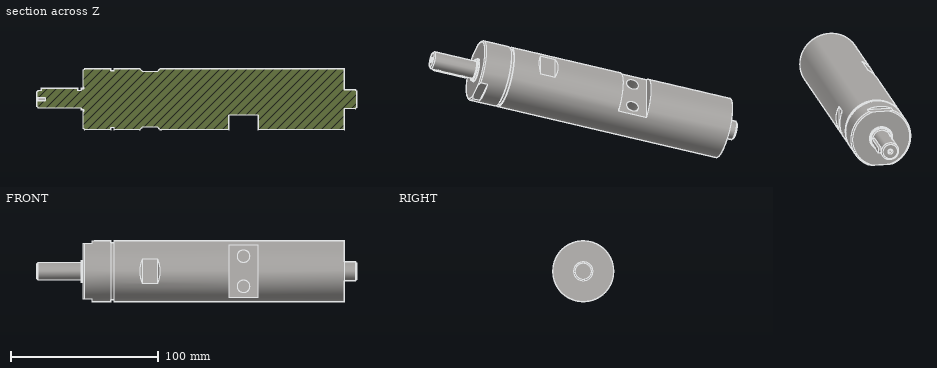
import cadquery as cq
body_length = 177.5
body_diameter = 41.5
body_radius = body_diameter / 2
face_chamfer = 1.0

shaft_length = 31.5
shaft_diameter = 12.0
shaft_chamfer = 1.0
spigot_length = 8.5
spigot_diameter = 13.0
spigot_chamfer = 1.0

collar_length = 1.2
ring_thickness = 0.4
ring_diameter = 14.95
neck_diameter = 14.0
clearance_diameter = 16.0
clearance_depth = 0.5

centre_mouth_diameter = 3.5
centre_hole_diameter = 1.8
centre_cone_depth = 0.85
centre_hole_depth = 6.0

key_start = -28.5
key_length = 25.0
key_width = 4.0
key_top = 7.5

groove_start = 19.0
groove_width = 2.0
groove_diameter = 39.0

front_flat_length = 6.0
front_flat_span = 38.0

side_flat_centre = 45.5
side_flat_length = 10.2
side_flat_span = 38.0

recess_start = 99.0
recess_length = 20.0
recess_floor = 10.75
recess_hole_diameter = 8.5
recess_hole_spacing = 20.5
recess_hole_depth = 10.0


def cylinder(start, length, diameter):
    """Cylinder on the X axis running in +X from the given station."""
    return cq.Workplane("YZ", origin=(start, 0, 0)).circle(diameter / 2).extrude(length)


def tube(start, length, outer_diameter, inner_diameter):
    return cylinder(start, length, outer_diameter).cut(cylinder(start, length, inner_diameter))


def make_body():
    body = cylinder(0, body_length, body_diameter).faces("<X").chamfer(face_chamfer)
    clearance = tube(0, clearance_depth, clearance_diameter, neck_diameter)
    groove = tube(groove_start, groove_width, body_diameter, groove_diameter)
    return body.cut(clearance).cut(groove)


def make_shaft():
    shaft = cylinder(-shaft_length, shaft_length, shaft_diameter).faces("<X").chamfer(shaft_chamfer)
    ring = cylinder(-collar_length, ring_thickness, ring_diameter)
    neck_length = collar_length - ring_thickness
    neck = cylinder(-neck_length, neck_length, neck_diameter)
    return shaft.union(ring).union(neck).union(make_key()).cut(make_centre_hole())


def make_key():
    return (
        cq.Workplane("XZ", origin=(key_start + key_length / 2, 0, 0))
        .slot2D(key_length, key_width)
        .extrude(-key_top)
    )


def make_centre_hole():
    mouth = -shaft_length
    mouth_radius = centre_mouth_diameter / 2
    hole_radius = centre_hole_diameter / 2
    half_section = [
        (mouth, 0),
        (mouth, mouth_radius),
        (mouth + centre_cone_depth, hole_radius),
        (mouth + centre_hole_depth, hole_radius),
        (mouth + centre_hole_depth, 0),
    ]
    return cq.Workplane("XY").polyline(half_section).close().revolve(360, (0, 0, 0), (1, 0, 0))


def make_spigot():
    return cylinder(body_length, spigot_length, spigot_diameter).faces(">X").chamfer(spigot_chamfer)


def make_front_flat(side):
    """Cutter above (side = 1) or below (side = -1) the front flats."""
    depth = body_radius - front_flat_span / 2
    middle = side * (body_radius - depth / 2)
    cutter = cq.Workplane("XY").box(front_flat_length, body_diameter, depth, centered=(False, True, True))
    return cutter.translate((0, 0, middle))


def make_side_flat(side):
    """Trapezoidal cutter on the +Y (side = 1) or -Y (side = -1) face."""
    floor = side_flat_span / 2
    depth = body_radius - floor
    half_floor = side_flat_length / 2
    half_mouth = half_floor + depth
    outline = [
        (side_flat_centre - half_floor, side * floor),
        (side_flat_centre + half_floor, side * floor),
        (side_flat_centre + half_mouth, side * body_radius),
        (side_flat_centre - half_mouth, side * body_radius),
    ]
    return cq.Workplane("XY").polyline(outline).close().extrude(body_radius, both=True)


def make_recess():
    plane = cq.Workplane("XZ", origin=(recess_start + recess_length / 2, -recess_floor, 0))
    pocket = plane.rect(recess_length, body_diameter).extrude(body_radius - recess_floor)
    hole_centres = [(0, recess_hole_spacing / 2), (0, -recess_hole_spacing / 2)]
    holes = plane.pushPoints(hole_centres).circle(recess_hole_diameter / 2).extrude(-recess_hole_depth)
    return pocket.union(holes)


body = make_body().cut(make_recess())
for side in (1, -1):
    body = body.cut(make_front_flat(side)).cut(make_side_flat(side))

result = body.union(make_shaft()).union(make_spigot())